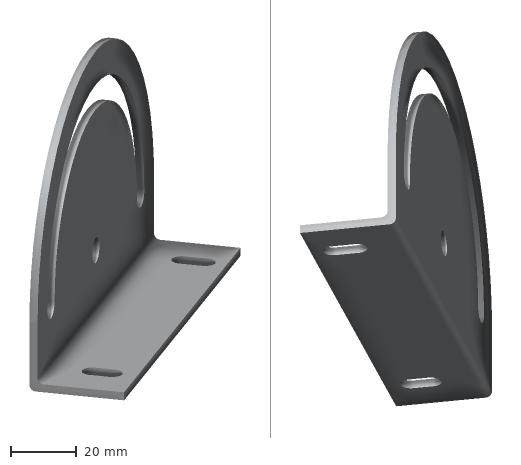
import cadquery as cq

length = 130.0
flange_depth = 30.0
thickness = 2.6
inner_bend_radius = 2.0
outer_bend_radius = 2.0
pivot_height = 22.5
pivot_diameter = 8.0
arc_slot_radius = 50.0
arc_slot_width = 8.0
mount_slot_width = 6.5
mount_slot_offset = 50.0
mount_slot_start = 12.5
rear_slot_length = 13.8
front_slot_length = 12.7

plate_radius = length / 2
height = pivot_height + plate_radius
slot_outer_radius = arc_slot_radius + arc_slot_width / 2
slot_inner_radius = arc_slot_radius - arc_slot_width / 2


def bent_sheet():
    """L-shaped sheet: upright plate at X = 0, flange along the bottom."""
    profile = (
        cq.Workplane("XZ")
        .polyline([
            (0, 0),
            (flange_depth, 0),
            (flange_depth, thickness),
            (thickness, thickness),
            (thickness, height),
            (0, height),
        ])
        .close()
        .extrude(plate_radius, both=True)
    )
    inner_corner = cq.selectors.NearestToPointSelector((thickness, 0, thickness))
    outer_corner = cq.selectors.NearestToPointSelector((0, 0, 0))
    return (
        profile.edges("|Y").edges(inner_corner).fillet(inner_bend_radius)
        .edges("|Y").edges(outer_corner).fillet(outer_bend_radius)
    )


def rounded_outline():
    """Block whose semicircular top is centred on the pivot."""
    return (
        cq.Workplane("YZ")
        .moveTo(-plate_radius, 0)
        .lineTo(plate_radius, 0)
        .lineTo(plate_radius, pivot_height)
        .threePointArc((0, height), (-plate_radius, pivot_height))
        .close()
        .extrude(flange_depth)
    )


def arc_slot():
    """Half-circle slot with round ends, cut through the upright plate."""
    end_bottom = -arc_slot_width / 2
    return (
        cq.Workplane("YZ", origin=(0, 0, pivot_height))
        .moveTo(-slot_outer_radius, 0)
        .threePointArc((0, slot_outer_radius), (slot_outer_radius, 0))
        .threePointArc((arc_slot_radius, end_bottom), (slot_inner_radius, 0))
        .threePointArc((0, slot_inner_radius), (-slot_inner_radius, 0))
        .threePointArc((-arc_slot_radius, end_bottom), (-slot_outer_radius, 0))
        .close()
        .extrude(thickness)
    )


def pivot_hole():
    return (
        cq.Workplane("YZ", origin=(0, 0, pivot_height))
        .circle(pivot_diameter / 2)
        .extrude(thickness)
    )


def mount_slot(y, slot_length):
    """Slot through the flange, running along X."""
    return (
        cq.Workplane("XY")
        .center(mount_slot_start + slot_length / 2, y)
        .slot2D(slot_length, mount_slot_width)
        .extrude(thickness)
    )


result = bent_sheet().intersect(rounded_outline())
result = result.cut(arc_slot()).cut(pivot_hole())
result = result.cut(mount_slot(mount_slot_offset, rear_slot_length))
result = result.cut(mount_slot(-mount_slot_offset, front_slot_length))